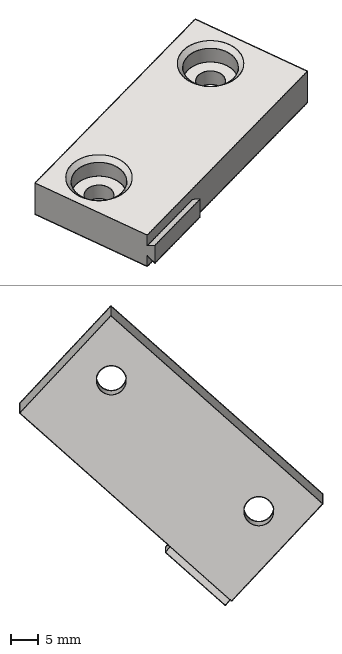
import cadquery as cq

plate_width = 25.0
plate_length = 53.0
plate_height = 8.0

rail_depth = 1.7
rail_length = 15.0
rail_root_height = 2.6
rail_tip_height = 4.55

hole_x = 9.0
first_hole_y = 7.8
hole_spacing = 36.9
hole_diameter = 5.5
bore_diameter = 10.3
mouth_diameter = 12.3
bore_depth = 4.5
mouth_chamfer = (mouth_diameter - bore_diameter) / 2


def make_plate():
    return cq.Workplane("XY").box(plate_width, plate_length, plate_height, centered=False)


def make_rail():
    """Dovetail that widens away from the plate, centred on its height."""
    mid_z = plate_height / 2
    tip_x = plate_width + rail_depth
    outline = [
        (plate_width, mid_z - rail_root_height / 2),
        (tip_x, mid_z - rail_tip_height / 2),
        (tip_x, mid_z + rail_tip_height / 2),
        (plate_width, mid_z + rail_root_height / 2),
    ]
    return cq.Workplane("XZ").polyline(outline).close().extrude(-rail_length)


def cut_screw_holes(body):
    centers = [(hole_x, first_hole_y), (hole_x, first_hole_y + hole_spacing)]
    top = cq.Workplane("XY").workplane(offset=plate_height).pushPoints(centers)
    through_holes = top.circle(hole_diameter / 2).extrude(-plate_height)
    bores = top.circle(bore_diameter / 2).extrude(-bore_depth)
    mouths = top.circle(mouth_diameter / 2).extrude(-mouth_chamfer, taper=45)
    return body.cut(through_holes).cut(bores).cut(mouths)


result = cut_screw_holes(make_plate().union(make_rail()))